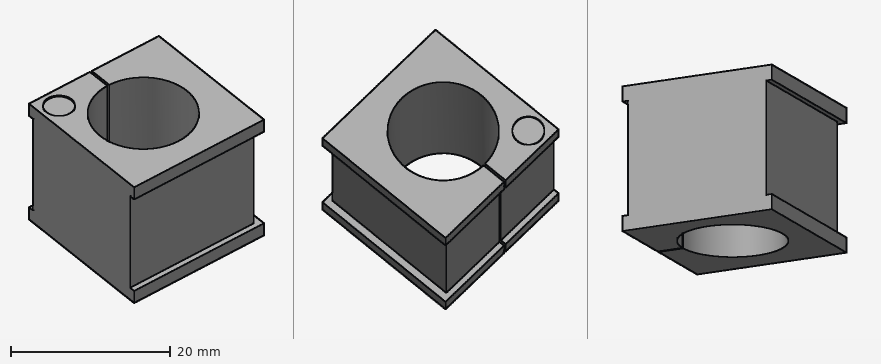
import cadquery as cq

width = 21.0
height = 19.0

flange_thickness = 2.0
side_recess = 0.8
back_recess = 1.0

bore_diameter = 14.0
bore_y = -back_recess / 2
slit_width = 0.3

label_diameter = 4.03
label_depth = 0.2
label_inset = 2.69


def make_spool():
    """Rectangular waist with a square flange at each end."""
    waist_width = width - 2 * side_recess
    waist_depth = width - back_recess
    spool = cq.Workplane("XY").center(0, bore_y).rect(waist_width, waist_depth).extrude(height)
    for flange_z in (0, height - flange_thickness):
        flange = cq.Workplane("XY").workplane(offset=flange_z).rect(width, width).extrude(flange_thickness)
        spool = spool.union(flange)
    return spool


def make_bore():
    return cq.Workplane("XY").center(0, bore_y).circle(bore_diameter / 2).extrude(height)


def make_slit():
    """Full-height cut from the -X side to the bore axis."""
    slit_length = width / 2
    return cq.Workplane("XY").center(-slit_length / 2, bore_y).rect(slit_length, slit_width).extrude(height)


def make_label_recess():
    label_centre = -width / 2 + label_inset
    return (
        cq.Workplane("XY")
        .workplane(offset=height - label_depth)
        .center(label_centre, label_centre)
        .circle(label_diameter / 2)
        .extrude(label_depth)
    )


result = make_spool().cut(make_bore()).cut(make_slit()).cut(make_label_recess())